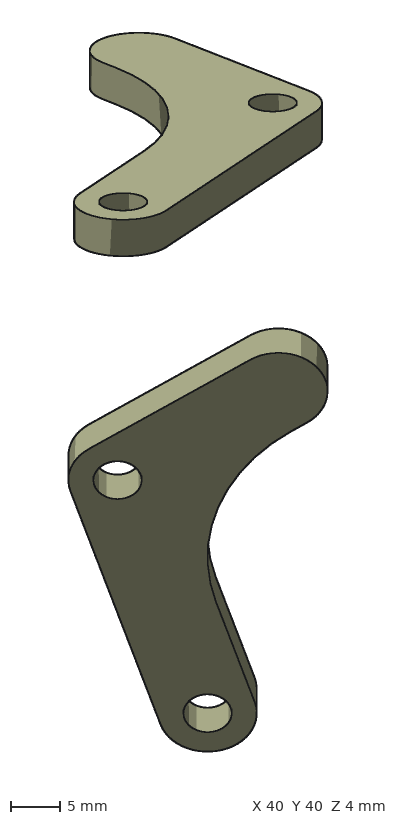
import cadquery as cq
import math

thickness = 4.0
end_radius = 5.0
hole_diameter = 4.9
inner_radius = 20.0
short_arm_length = 20.0
long_arm_run = 10.0
long_arm_drop = 30.0

elbow = cq.Vector(0, 0)
tip = cq.Vector(-short_arm_length, 0)
pivot = cq.Vector(long_arm_run, -long_arm_drop)

arm_direction = (pivot - elbow).normalized()
short_outward = cq.Vector(0, 1)
long_outward = cq.Vector(-arm_direction.y, arm_direction.x)

blend_offset = end_radius + inner_radius
arm_angle = math.acos(-arm_direction.x)
blend_reach = blend_offset / math.tan(arm_angle / 2)
blend_center = elbow + cq.Vector(-blend_reach, -blend_offset)


def on_circle(center, direction, radius):
    """(x, y) of the circle point lying in the given direction from its centre."""
    point = center + direction.normalized() * radius
    return point.x, point.y


def lever_plate():
    """Bent lever outline, drawn clockwise from the tip and extruded."""
    return (
        cq.Workplane("XY")
        .moveTo(*on_circle(tip, short_outward, end_radius))
        .lineTo(*on_circle(elbow, short_outward, end_radius))
        .threePointArc(
            on_circle(elbow, short_outward + long_outward, end_radius),
            on_circle(elbow, long_outward, end_radius),
        )
        .lineTo(*on_circle(pivot, long_outward, end_radius))
        .threePointArc(
            on_circle(pivot, arm_direction, end_radius),
            on_circle(pivot, -long_outward, end_radius),
        )
        .lineTo(*on_circle(blend_center, long_outward, inner_radius))
        .threePointArc(
            on_circle(blend_center, short_outward + long_outward, inner_radius),
            on_circle(blend_center, short_outward, inner_radius),
        )
        .lineTo(*on_circle(tip, -short_outward, end_radius))
        .threePointArc(
            on_circle(tip, cq.Vector(-1, 0), end_radius),
            on_circle(tip, short_outward, end_radius),
        )
        .close()
        .extrude(thickness)
    )


def pin_holes():
    """Through-hole cutters at the elbow and at the pivot."""
    return (
        cq.Workplane("XY")
        .pushPoints([elbow, pivot])
        .circle(hole_diameter / 2)
        .extrude(thickness)
    )


result = lever_plate().cut(pin_holes())